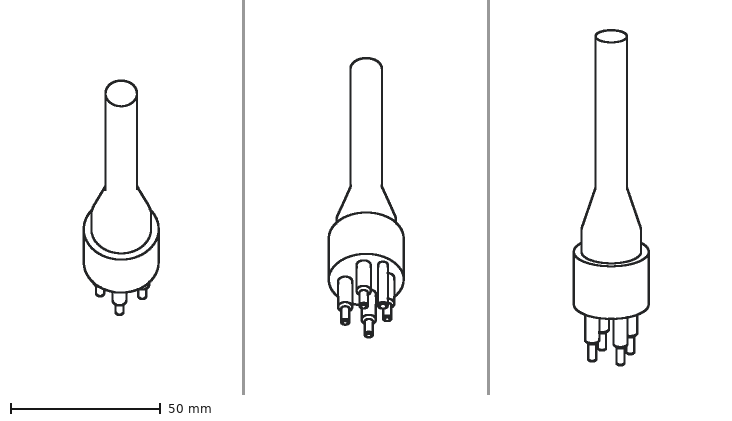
import cadquery as cq

total_height = 116.0

cable_diameter = 10.5
collar_diameter = 20.0
body_diameter = 25.0

pin_length = 19.0
body_height = 19.0
collar_height = 8.0
cone_height = 15.0

contact_diameter = 4.8
contact_tip_diameter = 2.8
contact_shank_length = 11.7
contact_offset = 5.0

key_diameter = 3.2
key_offset = 9.0

tip_chamfer = 0.5

body_bottom = pin_length
body_top = body_bottom + body_height
collar_top = body_top + collar_height
cone_top = collar_top + cone_height


def make_housing():
    """Body, collar, strain-relief cone and cable revolved about Z."""
    profile = (
        cq.Workplane("XZ")
        .moveTo(0, body_bottom)
        .lineTo(body_diameter / 2, body_bottom)
        .lineTo(body_diameter / 2, body_top)
        .lineTo(collar_diameter / 2, body_top)
        .lineTo(collar_diameter / 2, collar_top)
        .lineTo(cable_diameter / 2, cone_top)
        .lineTo(cable_diameter / 2, total_height)
        .lineTo(0, total_height)
        .close()
    )
    return profile.revolve(360, (0, 0, 0), (0, 1, 0))


def make_contact():
    """Stepped pin with a 45 degree shoulder and a chamfered tip."""
    shank_radius = contact_diameter / 2
    tip_radius = contact_tip_diameter / 2
    shoulder_top = body_bottom - contact_shank_length
    shoulder_bottom = shoulder_top - (shank_radius - tip_radius)
    profile = (
        cq.Workplane("XZ")
        .moveTo(0, 0)
        .lineTo(tip_radius - tip_chamfer, 0)
        .lineTo(tip_radius, tip_chamfer)
        .lineTo(tip_radius, shoulder_bottom)
        .lineTo(shank_radius, shoulder_top)
        .lineTo(shank_radius, body_bottom)
        .lineTo(0, body_bottom)
        .close()
    )
    return profile.revolve(360, (0, 0, 0), (0, 1, 0))


def make_key_pin():
    """Plain pin with a chamfered tip."""
    pin = cq.Workplane("XY").circle(key_diameter / 2).extrude(pin_length)
    return pin.faces("<Z").chamfer(tip_chamfer)


result = make_housing()

contact = make_contact()
for x_side in (-1, 1):
    for y_side in (-1, 1):
        position = (x_side * contact_offset, y_side * contact_offset, 0)
        result = result.union(contact.translate(position))

result = result.union(make_key_pin().translate((0, key_offset, 0)))